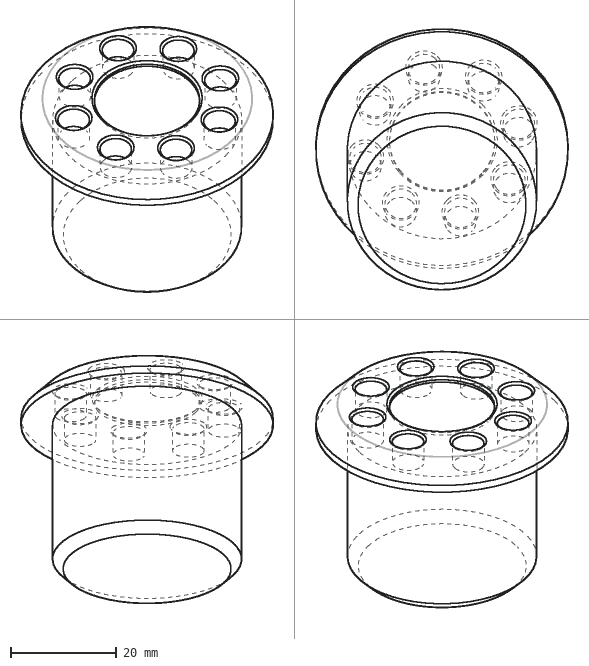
import cadquery as cq
import math

total_height = 35.5
flange_diameter = 48.0
flange_height = 5.5
flange_rim_height = 1.5
flange_top_rounding = 0.25
body_diameter = 36.0
body_chamfer = 2.0

hole_count = 8
hole_diameter = 6.0
hole_circle_diameter = 30.0
hole_depth = 5.0

recess_diameter = 20.0
recess_depth = 1.0

mouth_chamfer = 0.5

flange_chamfer = flange_height - flange_rim_height
body_height = total_height - flange_height
hole_circle_radius = hole_circle_diameter / 2


def make_body():
    """Plain cylinder with a chamfered lower end, reaching up to the flange."""
    body = cq.Workplane("XY").circle(body_diameter / 2).extrude(body_height)
    return body.faces("<Z").edges().chamfer(body_chamfer)


def make_flange():
    """Wide disc: a short straight rim, a conical upper edge and a slightly rounded top edge."""
    flange = (
        cq.Workplane("XY")
        .workplane(offset=body_height)
        .circle(flange_diameter / 2)
        .extrude(flange_height)
    )
    flange = flange.faces(">Z").edges().chamfer(flange_chamfer)
    return flange.faces(">Z").edges().fillet(flange_top_rounding)


def make_pocket_cutter(diameter, depth):
    """Round pocket on the Z axis, sunk from the top face, with a chamfered mouth."""
    radius = diameter / 2
    top = total_height
    profile = [
        (0, top),
        (radius + mouth_chamfer, top),
        (radius, top - mouth_chamfer),
        (radius, top - depth),
        (0, top - depth),
    ]
    return cq.Workplane("XZ").polyline(profile).close().revolve(360, (0, 0), (0, 1))


result = make_body().union(make_flange())
result = result.cut(make_pocket_cutter(recess_diameter, recess_depth))

hole_cutter = make_pocket_cutter(hole_diameter, hole_depth)
for index in range(hole_count):
    angle = 2 * math.pi * index / hole_count
    x = hole_circle_radius * math.cos(angle)
    y = hole_circle_radius * math.sin(angle)
    result = result.cut(hole_cutter.translate((x, y, 0)))